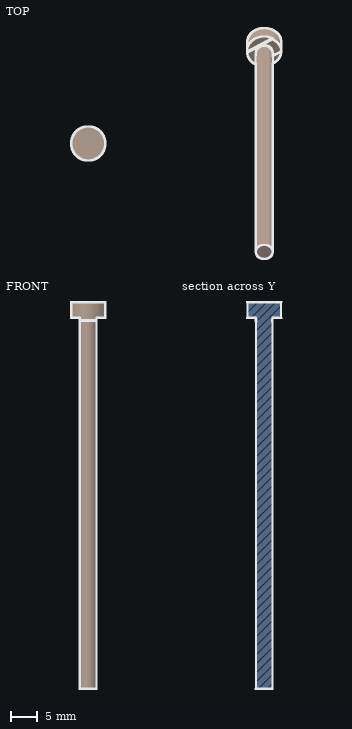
import cadquery as cq

total_length = 73.0
head_diameter = 6.5
head_height = 3.0
shank_diameter = 3.2

rib_width = 3.2
rib_height = 0.4

neck_diameter = 3.1
neck_length = 0.6

head_bottom = total_length / 2 - head_height
neck_bottom = head_bottom - neck_length


def upright_cylinder(diameter, bottom, top):
    """Round bar on the Z axis between two heights."""
    return cq.Workplane("XY").workplane(offset=bottom).circle(diameter / 2).extrude(top - bottom)


def underside_rib():
    """Rib across the head, with ends flush with the round side of the head."""
    rib_bottom = head_bottom - rib_height
    bar = cq.Workplane("XY").workplane(offset=rib_bottom).rect(rib_width, head_diameter).extrude(rib_height)
    return bar.intersect(upright_cylinder(head_diameter, rib_bottom, head_bottom))


head = upright_cylinder(head_diameter, head_bottom, total_length / 2)
shank = upright_cylinder(shank_diameter, -total_length / 2, neck_bottom)
neck = upright_cylinder(neck_diameter, neck_bottom, head_bottom)
result = head.union(underside_rib()).union(neck).union(shank).clean()